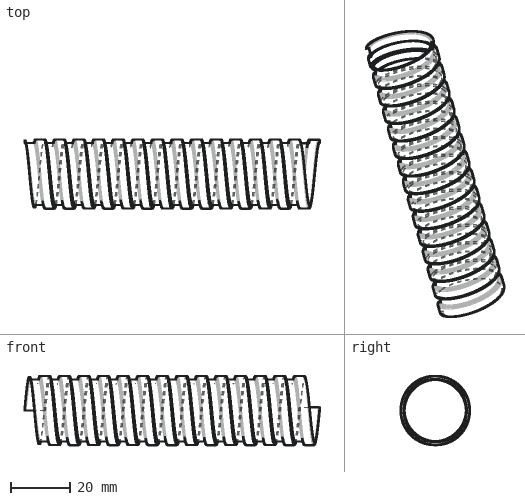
import cadquery as cq
import math


length = 100.0
outer_diameter = 23.5
inner_diameter = 20.7
thickness = 0.2
hook_clearance = 0.15
full_turns = 14
end_overshoot = 5.4
strip_width = 7.2
ridge_start = 3.3
slope_run = 0.2
bend_radius = 0.3

MATCH_TOLERANCE = 0.001

ridge_top = outer_diameter / 2
ridge_underside = ridge_top - thickness
band_inside = inner_diameter / 2
band_outside = band_inside + thickness
lip_tip = ridge_underside - hook_clearance
hem_tip = band_outside + hook_clearance

helix_height = length - strip_width
pitch = helix_height / (full_turns + end_overshoot / 360)

slope_height = ridge_top - band_outside
slope_ratio = slope_run / slope_height
wall_axial_thickness = thickness / math.sin(math.atan2(slope_height, slope_run))


def rising(start, start_radius, radius):
    """Point at a given radius on a wall that climbs toward +axis."""
    return (radius, start + (radius - start_radius) * slope_ratio)


def falling(start, start_radius, radius):
    """Point at a given radius on a wall that drops toward +axis."""
    return (radius, start - (radius - start_radius) * slope_ratio)


def rounded(wire, corners, radius):
    """Round the given (radius, axial place) corners of a section wire."""
    corner_points = [cq.Vector(r, 0, place) for r, place in corners]
    bend_vertices = [
        vertex
        for vertex in wire.Vertices()
        if any((vertex.Center() - point).Length < MATCH_TOLERANCE for point in corner_points)
    ]
    return wire.fillet2D(radius, bend_vertices)


def strip_profile():
    """Closed section of the strip, with its four bends rounded."""
    climb_inside = ridge_start + wall_axial_thickness
    hem_inside = strip_width - wall_axial_thickness
    outer_valley = [
        falling(wall_axial_thickness, lip_tip, band_outside),
        rising(ridge_start, band_outside, band_outside),
    ]
    outer_crest = [
        rising(ridge_start, band_outside, ridge_top),
        falling(strip_width, hem_tip, ridge_top),
    ]
    inner_crest = [
        falling(hem_inside, hem_tip, ridge_underside),
        rising(climb_inside, band_outside, ridge_underside),
    ]
    inner_valley = [
        rising(climb_inside, band_outside, band_inside),
        falling(0, lip_tip, band_inside),
    ]
    lip_end = [(lip_tip, 0), (lip_tip, wall_axial_thickness)]
    hem_end = [(hem_tip, strip_width), (hem_tip, hem_inside)]
    outline = lip_end + outer_valley + outer_crest + hem_end + inner_crest + inner_valley

    section = cq.Workplane("XZ").polyline(outline).close().val()
    section = rounded(section, outer_valley + inner_crest, bend_radius)
    return rounded(section, outer_crest + inner_valley, bend_radius + thickness)


winding_path = cq.Wire.makeHelix(pitch, helix_height, band_inside)
wound_strip = cq.Workplane(obj=strip_profile()).toPending().sweep(
    cq.Workplane(obj=winding_path), isFrenet=True
)

result = wound_strip.rotate((0, 0, 0), (1, 1, 1), 120)